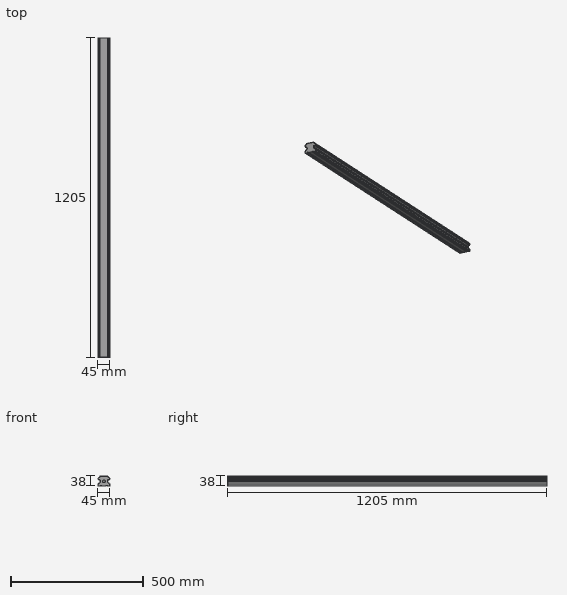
import cadquery as cq

RAIL_WIDTH = 45.0
RAIL_HEIGHT = 38.0
RAIL_LENGTH = 1205.0

FLANK_RUN = 8.2

HEAD_EDGE_BOTTOM = 26.4
FOOT_EDGE_TOP = 7.6
FOOT_CHAMFER = 1.5

UPPER_BALL_OFFSET = 19.2
UPPER_BALL_HEIGHT = 36.5
UPPER_BALL_RADIUS = 3.45
LOWER_BALL_OFFSET = 17.4
LOWER_BALL_HEIGHT = 21.6
LOWER_BALL_RADIUS = 2.9

RELIEF_WIDTH = 4.0
RELIEF_DEPTH = 2.0
RELIEF_OFFSET = 10.5

END_HOLE_DIAMETER = 10.0
END_HOLE_DEPTH = 25.0
END_HOLE_HEIGHT = 18.5

HALF_WIDTH = RAIL_WIDTH / 2
HALF_LENGTH = RAIL_LENGTH / 2
NARROW_HALF_WIDTH = HALF_WIDTH - FLANK_RUN
HEAD_EDGE_TOP = RAIL_HEIGHT - FLANK_RUN
WAIST_TOP = HEAD_EDGE_BOTTOM - FLANK_RUN
WAIST_BOTTOM = FOOT_EDGE_TOP + FLANK_RUN


def rail_body():
    """Symmetric rail profile, extruded along Y and centred on the origin in X and Y."""
    right_side = [
        (HALF_WIDTH - FOOT_CHAMFER, 0),
        (HALF_WIDTH, FOOT_CHAMFER),
        (HALF_WIDTH, FOOT_EDGE_TOP),
        (NARROW_HALF_WIDTH, WAIST_BOTTOM),
        (NARROW_HALF_WIDTH, WAIST_TOP),
        (HALF_WIDTH, HEAD_EDGE_BOTTOM),
        (HALF_WIDTH, HEAD_EDGE_TOP),
        (NARROW_HALF_WIDTH, RAIL_HEIGHT),
    ]
    left_side = [(-x, z) for x, z in reversed(right_side)]
    profile = cq.Workplane("XZ").polyline(right_side + left_side).close()
    return profile.extrude(HALF_LENGTH, both=True)


def ball_groove(x, z, radius):
    """Full-length round bar that leaves a ball groove where it meets a flank."""
    return cq.Workplane("XZ").center(x, z).circle(radius).extrude(HALF_LENGTH, both=True)


def relief_groove(x):
    """Rectangular groove running the whole length of the underside."""
    return cq.Workplane("XY").center(x, 0).rect(RELIEF_WIDTH, RAIL_LENGTH).extrude(RELIEF_DEPTH)


def end_hole():
    """Blind hole entering from the front end, on the middle plane of the rail."""
    front_end = cq.Workplane("XZ", origin=(0, -HALF_LENGTH, END_HOLE_HEIGHT))
    return front_end.circle(END_HOLE_DIAMETER / 2).extrude(-END_HOLE_DEPTH)


result = rail_body()
for side in (-1, 1):
    result = result.cut(ball_groove(side * UPPER_BALL_OFFSET, UPPER_BALL_HEIGHT, UPPER_BALL_RADIUS))
    result = result.cut(ball_groove(side * LOWER_BALL_OFFSET, LOWER_BALL_HEIGHT, LOWER_BALL_RADIUS))
    result = result.cut(relief_groove(side * RELIEF_OFFSET))
result = result.cut(end_hole()).solids()